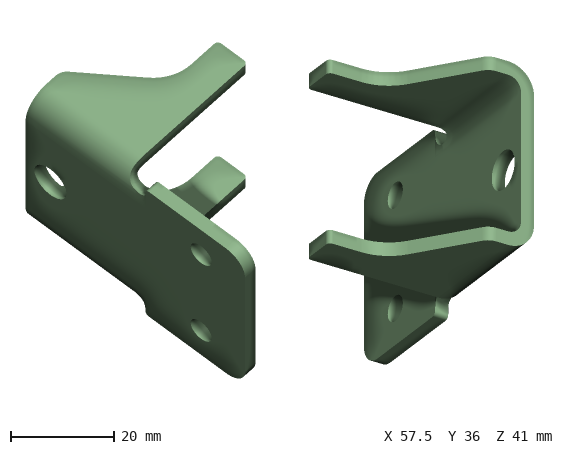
import cadquery as cq
import math

length = 57.5
depth = 36.0
plate_height = 41.05
channel_height = 40.5
thickness = 3.0
outer_bend_radius = 2 * thickness
inner_bend_radius = outer_bend_radius - thickness
bend_axis_z = channel_height / 2 - outer_bend_radius

flange_length = 25.55
prong_width = 7.9
prong_start_x = flange_length - prong_width
slope_start_y = 10.2
slope_rise_per_run = 0.75
slope_end_y = slope_start_y + slope_rise_per_run * prong_start_x
slope_start_fillet = 3.0
slope_end_fillet = 10.0
prong_tip_fillet = 1.0

plate_outer_fillet = 5.0
plate_inner_fillet = 1.0

relief_radius = 2.95
relief_center_x = flange_length + relief_radius
plate_start_x = flange_length + 2 * relief_radius
relief_center_angle = math.radians(60.5)
relief_unfold_radius = 4.85
relief_section_count = 9

pivot_hole_diameter = 8.4
pivot_hole_x = 6.5
mount_hole_diameter = 5.5
mount_hole_x = 46.0
mount_hole_spacing = 24.95


def make_web():
    """Flat wall between the two bends, running into the plate."""
    return cq.Workplane("XY").box(
        plate_start_x, thickness, 2 * bend_axis_z, centered=(False, False, True)
    )


def make_plate():
    """Wide mounting plate with rounded corners."""
    plate = (
        cq.Workplane("XY")
        .box(length - plate_start_x, thickness, plate_height, centered=(False, False, True))
        .translate((plate_start_x, 0, 0))
    )
    plate = plate.edges("|Y and >X").fillet(plate_outer_fillet)
    return plate.edges("|Y and <X").fillet(plate_inner_fillet)


def make_flange():
    """Upper side wall, tapering to a narrow prong."""
    flange = (
        cq.Workplane("XY")
        .workplane(offset=channel_height / 2 - thickness)
        .moveTo(0, outer_bend_radius)
        .lineTo(flange_length, outer_bend_radius)
        .lineTo(flange_length, depth)
        .lineTo(prong_start_x, depth)
        .lineTo(prong_start_x, slope_end_y)
        .lineTo(0, slope_start_y)
        .close()
        .extrude(thickness)
    )
    flange = flange.edges("|Z and >Y").fillet(prong_tip_fillet)
    middle_z = channel_height / 2 - thickness / 2
    slope_start = cq.selectors.NearestToPointSelector((0, slope_start_y, middle_z))
    flange = flange.edges(slope_start).fillet(slope_start_fillet)
    slope_end = cq.selectors.NearestToPointSelector((prong_start_x, slope_end_y, middle_z))
    return flange.edges(slope_end).fillet(slope_end_fillet)


def sheet_point(x, radius, angle, flatness):
    """Point in the sheet: flatness 0 lies on the bend, 1 lies on the flat plate."""
    bent_y = outer_bend_radius - radius * math.cos(angle)
    bent_z = radius * math.sin(angle)
    flat_y = outer_bend_radius - radius
    flat_z = relief_unfold_radius * angle
    y = bent_y + flatness * (flat_y - bent_y)
    z = bent_z + flatness * (flat_z - bent_z)
    return cq.Vector(x, y, bend_axis_z + z)


def sheet_section(x, angle, flatness):
    """Cross-section of the sheet at x, from the web edge round to the given bend angle."""
    def corner_and_middle(radius):
        return [sheet_point(x, radius, part * angle, flatness) for part in (0, 0.5, 1)]

    outer = corner_and_middle(outer_bend_radius)
    inner = corner_and_middle(inner_bend_radius)

    def side(points):
        if math.isclose(flatness, 1):
            return cq.Edge.makeLine(points[0], points[2])
        return cq.Edge.makeThreePointArc(*points)

    return cq.Wire.assembleEdges([
        side(outer),
        cq.Edge.makeLine(outer[2], inner[2]),
        side(inner[::-1]),
        cq.Edge.makeLine(inner[0], outer[0]),
    ])


def relief_edge(turn):
    """Place (x, bend angle) on the relief arc; turn runs from 0 at the flange to pi at the plate."""
    x = relief_center_x - relief_radius * math.cos(turn)
    arc_depth = relief_radius * math.sin(turn)
    return x, relief_center_angle - arc_depth / relief_unfold_radius


def quarter_turns(start_turn):
    """Evenly spaced turns over a quarter of the relief circle."""
    step = math.pi / 2 / (relief_section_count - 1)
    return [start_turn + index * step for index in range(relief_section_count)]


def make_relief_cutter():
    """Waste above the flange-side quarter of the relief arc, cut square to the sheet."""
    cutter_inner_radius = inner_bend_radius / 2
    cutter_outer_radius = outer_bend_radius * 2
    top_angle = math.radians(100)
    sections = []
    for turn in quarter_turns(0):
        x, angle = relief_edge(turn)
        corners = [
            sheet_point(x, cutter_inner_radius, angle, 0),
            sheet_point(x, cutter_outer_radius, angle, 0),
            sheet_point(x, cutter_outer_radius, top_angle, 0),
            sheet_point(x, cutter_inner_radius, top_angle, 0),
        ]
        sections.append(cq.Wire.makePolygon(corners, close=True))
    return cq.Workplane(cq.Solid.makeLoft(sections))


def make_transition():
    """Sheet under the plate-side quarter of the relief arc, flattening from bend to plate."""
    sections = []
    for turn in quarter_turns(math.pi / 2):
        x, angle = relief_edge(turn)
        flatness = (x - relief_center_x) / relief_radius
        sections.append(sheet_section(x, angle, flatness))
    return cq.Workplane(cq.Solid.makeLoft(sections))


def make_bend():
    """Quarter-round bend beside the flange, running on to the middle of the relief."""
    start = sheet_section(0, math.pi / 2, 0)
    end = sheet_section(relief_center_x, math.pi / 2, 0)
    bend = cq.Workplane(cq.Solid.makeLoft([start, end], True))
    return bend.cut(make_relief_cutter())


def make_holes():
    """Pivot hole and the pair of mounting holes, through the flat wall."""
    def hole(x, z, diameter):
        return cq.Workplane("XZ").center(x, z).circle(diameter / 2).extrude(-thickness)

    holes = hole(pivot_hole_x, 0, pivot_hole_diameter)
    for side in (-1, 1):
        holes = holes.union(hole(mount_hole_x, side * mount_hole_spacing / 2, mount_hole_diameter))
    return holes


upper_side = make_flange().union(make_bend()).union(make_transition())
lower_side = upper_side.mirror("XY")

result = make_web().union(make_plate()).union(upper_side).union(lower_side).cut(make_holes())